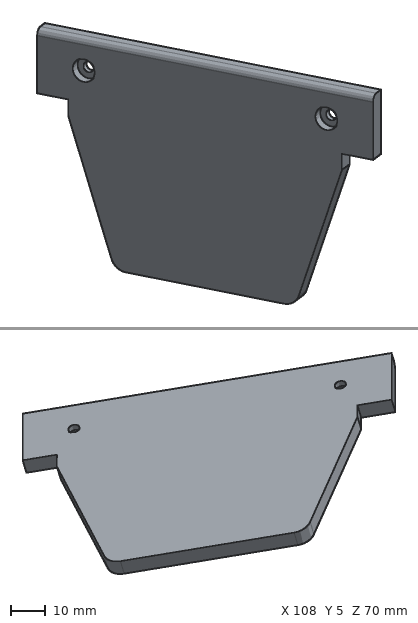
import cadquery as cq

width = 108.0
height = 70.0
thickness = 5.0

band_height = 20.0
blade_width = 88.0
straight_side_height = 5.0
bottom_width = 58.0
bottom_corner_radius = 5.0
top_edge_radius = 2.0

hole_spacing = 78.0
hole_drop = 10.0
hole_diameter = 3.2
counterbore_diameter = 7.0
counterbore_depth = 3.0

top_z = height / 2
bottom_z = -height / 2
band_bottom_z = top_z - band_height
taper_start_z = band_bottom_z - straight_side_height
front_y = -thickness / 2


def make_plate():
    """Symmetric plate outline, extruded through the thickness."""
    right_side = [
        (width / 2, top_z),
        (width / 2, band_bottom_z),
        (blade_width / 2, band_bottom_z),
        (blade_width / 2, taper_start_z),
        (bottom_width / 2, bottom_z),
    ]
    left_side = [(-x, z) for x, z in reversed(right_side)]
    plate = (
        cq.Workplane("XZ")
        .polyline(right_side + left_side)
        .close()
        .extrude(thickness / 2, both=True)
    )
    plate = plate.faces("<Z").edges("|Y").fillet(bottom_corner_radius)
    return plate.faces(">Z").edges("<Y").fillet(top_edge_radius)


def cut_screw_holes(plate):
    """Two counterbored through holes in the band."""
    hole_z = top_z - hole_drop
    return (
        plate.copyWorkplane(cq.Workplane("XZ", origin=(0, front_y, 0)))
        .pushPoints([(-hole_spacing / 2, hole_z), (hole_spacing / 2, hole_z)])
        .cboreHole(hole_diameter, counterbore_diameter, counterbore_depth)
    )


result = cut_screw_holes(make_plate())